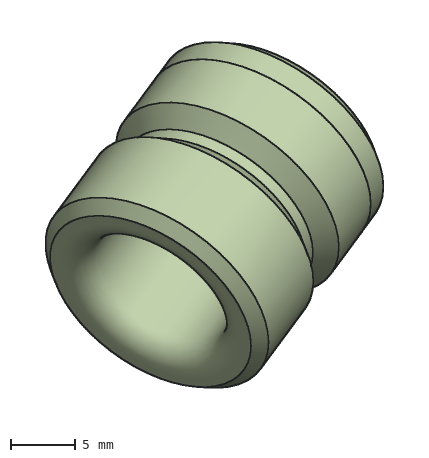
import cadquery as cq

length = 20.0
lead_diameter = 19.98
body_diameter = 20.0
lead_length = 3.0
end_chamfer = 1.0

bore_radius = 6.0
entry_radius = 2.0

groove_width = 4.0
groove_depth = 1.48

front_y = -length / 2
back_y = length / 2
lead_y = back_y - lead_length
lead_radius = lead_diameter / 2
body_radius = body_diameter / 2


def revolve_about_y(profile):
    """Revolve a profile of (radius, y) points about the Y axis."""
    return profile.close().revolve(360, (0, 0, 0), (0, 1, 0))


def make_body():
    profile = (
        cq.Workplane("XY")
        .moveTo(0, front_y)
        .lineTo(body_radius - end_chamfer, front_y)
        .lineTo(body_radius, front_y + end_chamfer)
        .lineTo(body_radius, lead_y)
        .lineTo(lead_radius, lead_y)
        .lineTo(lead_radius, back_y - end_chamfer)
        .lineTo(lead_radius - end_chamfer, back_y)
        .lineTo(0, back_y)
    )
    return revolve_about_y(profile)


def make_groove():
    half_mouth = groove_width / 2
    half_floor = half_mouth - groove_depth
    floor_radius = body_radius - groove_depth
    profile = (
        cq.Workplane("XY")
        .moveTo(body_radius, -half_mouth)
        .lineTo(floor_radius, -half_floor)
        .lineTo(floor_radius, half_floor)
        .lineTo(body_radius, half_mouth)
    )
    return revolve_about_y(profile)


def make_bore():
    profile = (
        cq.Workplane("XY")
        .moveTo(0, front_y)
        .lineTo(bore_radius + entry_radius, front_y)
        .radiusArc((bore_radius, front_y + entry_radius), entry_radius)
        .lineTo(bore_radius, back_y)
        .lineTo(0, back_y)
    )
    return revolve_about_y(profile)


result = make_body().cut(make_groove()).cut(make_bore())